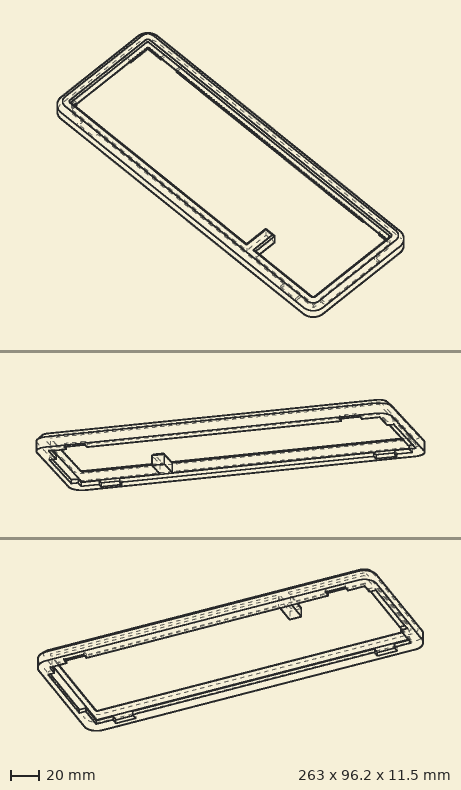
import cadquery as cq
length = 263.0
width = 96.2
height = 11.5
rim = 9.7
outer_chamfer = 4.0

opening_length = length - 2 * rim
opening_width = width - 2 * rim
opening_radius = 0.81
inner_chamfer = 1.3

tab_x = 59.5
tab_width = 9.2
tab_tip_y = -19.2

rebate_height = 3.0
rebate_depth = 0.8

recess_depth = 5.8
long_recess_length = 15.2
long_recess_x = 101.7
short_recess_length = 53.0
short_recess_y = -5.0


def block(size_x, size_y, size_z, x=0.0, y=0.0):
    """Box standing on the bottom plane, centred at (x, y)."""
    return cq.Workplane("XY").center(x, y).rect(size_x, size_y).extrude(size_z)


def frame_body():
    body = block(length, width, height).edges("|Z").fillet(rim)
    return body.faces(">Z").edges().chamfer(outer_chamfer)


def opening_cutter():
    """Opening with the tab left out of it and slightly rounded corners."""
    root_y = -width / 2
    tab = block(tab_width, tab_tip_y - root_y, height, tab_x, (tab_tip_y + root_y) / 2)
    opening = block(opening_length, opening_width, height).edges("|Z").fillet(opening_radius)
    return opening.cut(tab)


def underside_cutter():
    """Rebate, which also trims the tab's underside, and its local recesses."""
    cutter = block(
        opening_length + 2 * rebate_depth,
        opening_width + 2 * rebate_depth,
        rebate_height,
    )
    recess_span_x = opening_length + 2 * recess_depth
    recess_span_y = opening_width + 2 * recess_depth
    for side in (-1, 1):
        cutter = cutter.union(
            block(long_recess_length, recess_span_y, rebate_height, side * long_recess_x)
        )
    short_recesses = block(recess_span_x, short_recess_length, rebate_height, y=short_recess_y)
    return cutter.union(short_recesses)


def chamfer_opening(frame):
    """Bevel the top edges of the opening and the tab."""
    top_face = frame.faces(">Z").val()
    opening_loop = top_face.innerWires()[0]
    return frame.newObject(opening_loop.Edges()).chamfer(inner_chamfer)


frame = frame_body().cut(opening_cutter())
result = chamfer_opening(frame).cut(underside_cutter())